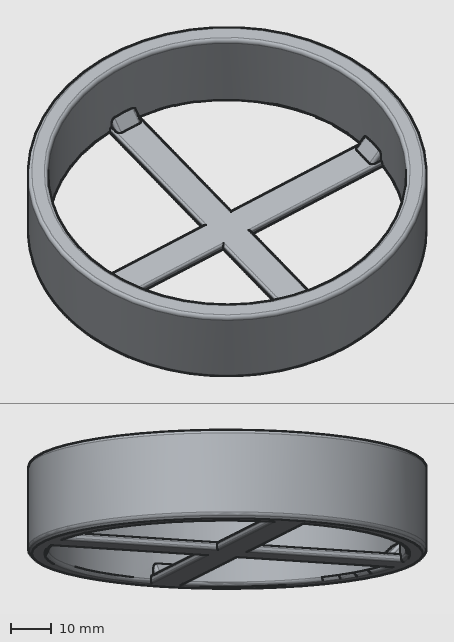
import cadquery as cq

outer_diameter = 97.5
inner_diameter = 87.5
ring_height = 22.0
ring_edge_radius = 1.0
bottom_chamfer = 1.0
chamfer_blend_radius = 1.2

spoke_width = 8.4
spoke_bottom = 0.0
spoke_top = 1.95
spoke_edge_radius = 0.6

gusset_size = 3.0
gusset_edge_radius = 0.9
gusset_width = spoke_width - 2 * spoke_edge_radius

outer_radius = outer_diameter / 2
inner_radius = inner_diameter / 2
wall_middle_radius = (outer_radius + inner_radius) / 2
spoke_thickness = spoke_top - spoke_bottom


def make_ring():
    """Round tube with rounded rims and a blended chamfer around the outer bottom edge."""
    disc = cq.Workplane("XY").circle(outer_radius).extrude(ring_height)
    disc = disc.faces("<Z").edges().chamfer(bottom_chamfer)
    blend_edge = cq.selectors.NearestToPointSelector((outer_radius, 0, bottom_chamfer))
    disc = disc.edges("%CIRCLE").edges(blend_edge).fillet(chamfer_blend_radius)
    disc = disc.faces(">Z").edges().fillet(ring_edge_radius)

    tube = cq.Workplane("XY").circle(outer_radius).circle(inner_radius).extrude(ring_height)
    bore_rims = cq.selectors.RadiusNthSelector(0)
    tube = tube.edges("%CIRCLE").edges(bore_rims).fillet(ring_edge_radius)
    return disc.intersect(tube)


def make_cross():
    """Two crossed bars with rounded long edges, ending inside the ring wall."""
    bar = (
        cq.Workplane("XY", origin=(0, 0, spoke_bottom))
        .box(2 * wall_middle_radius, spoke_width, spoke_thickness, centered=(True, True, False))
        .edges("|X")
        .fillet(spoke_edge_radius)
    )
    return bar.union(bar.rotate((0, 0, 0), (0, 0, 1), 90))


def make_gusset(angle):
    """45 degree wedge on a spoke, reaching into the wall, turned about Z by the angle."""
    toe_radius = inner_radius - gusset_size
    depth_into_wall = wall_middle_radius - inner_radius
    buried_depth = spoke_thickness / 2
    crest = spoke_top + gusset_size + depth_into_wall
    wedge = (
        cq.Workplane("XZ")
        .moveTo(toe_radius - buried_depth, spoke_top - buried_depth)
        .lineTo(wall_middle_radius, spoke_top - buried_depth)
        .lineTo(wall_middle_radius, crest)
        .close()
        .extrude(gusset_width / 2, both=True)
    )
    slope_edges = wedge.faces("<(1, 0, -1)").edges("not |Y")
    rounded = slope_edges.fillet(gusset_edge_radius)
    return rounded.rotate((0, 0, 0), (0, 0, 1), angle)


result = make_ring().union(make_cross())
for gusset_angle in (0, 90, 180, 270):
    result = result.union(make_gusset(gusset_angle))